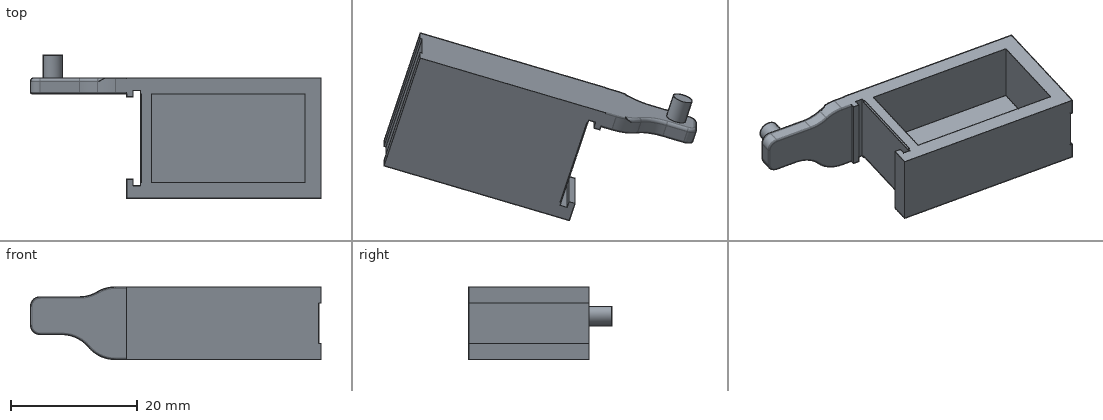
import cadquery as cq
import math

length = 45.9
box_width = 19.05
height = 11.48
overall_width = 22.65

box_left = 15.2
wall = 2.52
floor_thickness = 2.0
pocket_left = 19.15

lip_thickness = 1.0
lip_reach = 3.05
groove_length = 1.15
groove_edge = 2.0
end_wall_left = box_left + lip_thickness + groove_length
end_bevel_height = 0.28
end_bevel_depth = 0.2

channel_depth = 0.3
channel_height = 6.35

tongue_bottom = 3.95
tongue_top = 9.9
tongue_corner = 1.5
shoulder_end = 13.4
shoulder_radius = 5.5
front_round = 0.25
tongue_back_round = 0.55
shoulder_back_round = 0.15
blend_start = 10.8
blend_end = 11.9

pin_diameter = 3.1
pin_x = 3.55
pin_z = 6.85


def block(x0, x1, y0, y1, z0, z1):
    """Box between two opposite corners."""
    return cq.Workplane("XY").box(x1 - x0, y1 - y0, z1 - z0, centered=False).translate((x0, y0, z0))


def make_box():
    body = block(box_left, length, 0, box_width, 0, height)
    body = body.cut(block(pocket_left, length - wall, wall, box_width - wall, floor_thickness, height))

    lip_end = box_left + lip_thickness
    body = body.cut(block(box_left, lip_end, lip_reach, box_width - lip_reach, 0, height))
    body = body.cut(block(lip_end, end_wall_left, groove_edge, box_width - groove_edge, 0, height))

    for edge_z, inward in ((0, 1), (height, -1)):
        bevel = (
            cq.Workplane("XZ", origin=(0, box_width - wall, 0))
            .moveTo(end_wall_left, edge_z)
            .lineTo(end_wall_left + end_bevel_depth, edge_z)
            .lineTo(end_wall_left, edge_z + inward * end_bevel_height)
            .close()
            .extrude(box_width - 2 * wall)
        )
        body = body.cut(bevel)

    channel_bottom = (height - channel_height) / 2
    return body.cut(
        block(length - channel_depth, length, 0, box_width, channel_bottom, channel_bottom + channel_height)
    )


def half_shoulder(rise):
    """Run of one of the two equal arcs that together climb by rise."""
    half_rise = rise / 2
    return math.sqrt(2 * shoulder_radius * half_rise - half_rise**2)


def make_plate():
    """Handle outline with sharp edges, as thick as the box wall."""
    top_run = half_shoulder(height - tongue_top)
    bottom_run = half_shoulder(tongue_bottom)
    top_middle = (shoulder_end - top_run, (height + tongue_top) / 2)
    bottom_middle = (shoulder_end - bottom_run, tongue_bottom / 2)

    return (
        cq.Workplane("XZ", origin=(0, box_width, 0))
        .moveTo(box_left, 0)
        .lineTo(shoulder_end, 0)
        .tangentArcPoint(bottom_middle, relative=False)
        .tangentArcPoint((shoulder_end - 2 * bottom_run, tongue_bottom), relative=False)
        .lineTo(tongue_corner, tongue_bottom)
        .tangentArcPoint((0, tongue_bottom + tongue_corner), relative=False)
        .lineTo(0, tongue_top - tongue_corner)
        .tangentArcPoint((tongue_corner, tongue_top), relative=False)
        .lineTo(shoulder_end - 2 * top_run, tongue_top)
        .tangentArcPoint(top_middle, relative=False)
        .tangentArcPoint((shoulder_end, height), relative=False)
        .lineTo(box_left, height)
        .close()
        .extrude(wall)
    )


def round_rim(plate, face, radius):
    """Round the rim of one face, leaving the joint with the box sharp."""
    rim = plate.faces(face).edges()
    free_edges = [edge for edge in rim.vals() if edge.Center().x < box_left - 0.005]
    return plate.newObject(free_edges).fillet(radius)


def make_handle():
    plate = round_rim(make_plate(), "<Y", front_round)

    tongue_side = (
        cq.Workplane("XY")
        .moveTo(0, box_width - wall)
        .lineTo(blend_start, box_width - wall)
        .lineTo(blend_start, box_width - tongue_back_round)
        .lineTo(blend_end, box_width)
        .lineTo(0, box_width)
        .close()
        .extrude(height)
    )
    tongue = round_rim(plate, ">Y", tongue_back_round).intersect(tongue_side)
    shoulders = round_rim(plate, ">Y", shoulder_back_round).cut(tongue_side)
    return tongue.union(shoulders)


def make_pin():
    return (
        cq.Workplane("XZ", origin=(pin_x, overall_width, pin_z))
        .circle(pin_diameter / 2)
        .extrude(overall_width - box_width + wall / 2)
    )


result = make_box().union(make_handle()).union(make_pin())